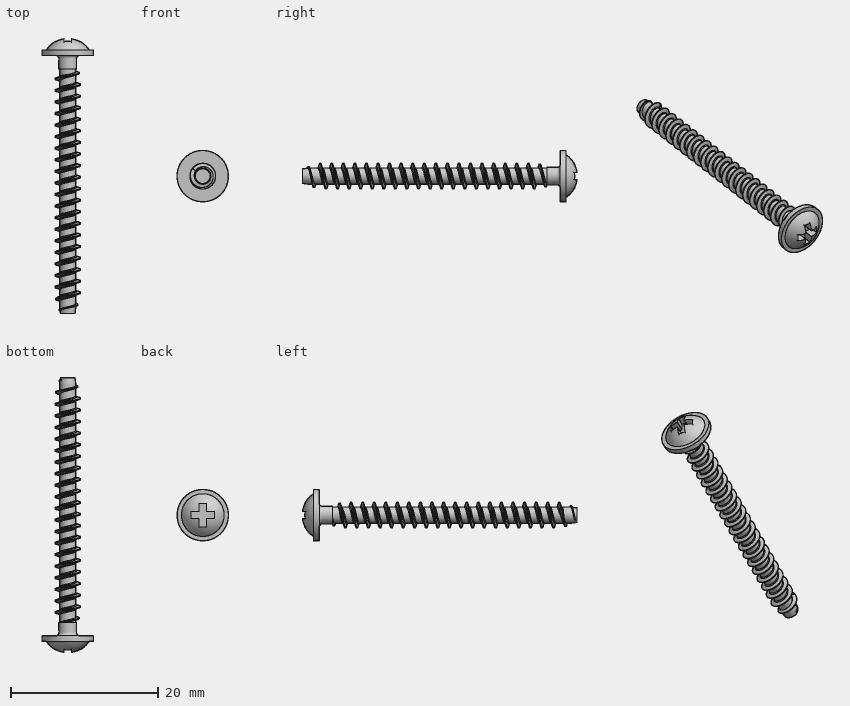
import cadquery as cq
import math


washer_radius = 3.5
washer_height = 0.8
washer_edge_radius = 0.1
head_height = 2.3
dome_foot_radius = 2.9

recess_wing_width = 0.97
recess_span = 3.2
recess_depth = 1.5

length = 35.0
neck_radius = 1.22
neck_length = 1.78
neck_fillet = 0.4
core_radius = 1.11
tip_radius = 1.0
tip_taper_length = 0.8

pitch = 1.57
thread_radius = 1.75
crest_width = 0.12
flank_angle = 14.0
foot_radius = 1.2
foot_width = 1.2
root_overlap = 0.15

thread_start = 0.9
full_thread_start = 2.0
full_thread_end = 20.9
thread_end = 22.1
thread_phase = 0.5
start_sink = 0.4
end_sink = 0.65
full_stretches = 6

cutter_clearance = 1.0

rim_radius = recess_wing_width / math.sqrt(2)
dome_height = head_height - washer_height
dome_centre = (
    (rim_radius**2 + head_height**2 - dome_foot_radius**2 - washer_height**2) / (2 * dome_height)
)
dome_radius = math.hypot(dome_foot_radius, washer_height - dome_centre)
dome_apex = dome_centre + dome_radius


def make_blank():
    """Head, neck and core as one turned body."""
    dome_mid_angle = math.asin(dome_foot_radius / dome_radius) / 2
    dome_mid = (
        dome_radius * math.sin(dome_mid_angle),
        dome_centre + dome_radius * math.cos(dome_mid_angle),
    )
    fillet_offset = neck_fillet * (1 - math.cos(math.pi / 4))
    edge_offset = washer_edge_radius * (1 - math.cos(math.pi / 4))
    profile = (
        cq.Workplane("XZ")
        .moveTo(0, dome_apex)
        .threePointArc(dome_mid, (dome_foot_radius, washer_height))
        .lineTo(washer_radius, washer_height)
        .lineTo(washer_radius, washer_edge_radius)
        .threePointArc(
            (washer_radius - edge_offset, edge_offset),
            (washer_radius - washer_edge_radius, 0),
        )
        .lineTo(neck_radius + neck_fillet, 0)
        .threePointArc(
            (neck_radius + fillet_offset, -fillet_offset),
            (neck_radius, -neck_fillet),
        )
        .lineTo(neck_radius, -neck_length)
        .lineTo(core_radius, -neck_length)
        .lineTo(core_radius, -length + tip_taper_length)
        .lineTo(tip_radius, -length)
        .lineTo(0, -length)
        .close()
    )
    return profile.revolve(360, (0, 0, 0), (0, 1, 0))


def make_recess():
    """Two crossed slots, sunk by the recess depth below the head height."""
    recess_top = dome_apex + cutter_clearance
    recess_floor = head_height - recess_depth
    height = recess_top - recess_floor
    wings = cq.Workplane("XY").workplane(offset=recess_floor)
    wing_x = wings.rect(recess_span, recess_wing_width).extrude(height)
    wing_y = wings.rect(recess_wing_width, recess_span).extrude(height)
    return wing_x.union(wing_y)


def thread_outline():
    """Cross-section of the ridge: trapezoid crest on a broad foot, rooted inside the core."""
    half_crest = crest_width / 2
    half_ridge = half_crest + (thread_radius - foot_radius) * math.tan(math.radians(flank_angle))
    half_foot = foot_width / 2
    root_radius = core_radius - root_overlap
    return [
        (root_radius, -half_foot),
        (foot_radius, -half_ridge),
        (thread_radius, -half_crest),
        (thread_radius, half_crest),
        (foot_radius, half_ridge),
        (root_radius, half_foot),
    ]


def make_ridge(bottom, top, bottom_sink=0, top_sink=0):
    """Right-handed ridge wound up from `bottom` to `top`, both in turns below the seating face.

    The sinks draw an end in toward the axis, so that the ridge climbs along a cone between them.
    """
    height = (bottom - top) * pitch
    if bottom_sink == top_sink:
        helix = cq.Wire.makeHelix(pitch, height, core_radius - bottom_sink)
    else:
        cone_angle = math.atan2(bottom_sink - top_sink, height)
        slant = 1 / math.cos(cone_angle)
        helix = cq.Wire.makeHelix(
            pitch * slant,
            height * slant,
            core_radius - bottom_sink,
            angle=math.degrees(cone_angle),
        )
    outline = [(radius - bottom_sink, rise) for radius, rise in thread_outline()]
    ridge = cq.Workplane("XZ").polyline(outline).close().sweep(cq.Workplane(helix), isFrenet=True)
    start_angle = (thread_phase - bottom) * 360
    return ridge.rotate((0, 0, 0), (0, 0, 1), start_angle).translate((0, 0, -bottom * pitch))


def make_thread():
    """Lengths of the thread in order: run-in under the neck, full thread, run-out at the tip."""
    ridges = [make_ridge(full_thread_start, thread_start, top_sink=start_sink)]
    stretch_turns = (full_thread_end - full_thread_start) / full_stretches
    for index in range(full_stretches):
        top = full_thread_start + index * stretch_turns
        ridges.append(make_ridge(top + stretch_turns, top))
    ridges.append(make_ridge(thread_end, full_thread_end, bottom_sink=end_sink))
    return ridges


def make_thread_zone():
    """Cylinder from the neck to the tip, within which the thread is kept."""
    zone_radius = thread_radius + cutter_clearance
    return cq.Workplane("XY").workplane(offset=-length).circle(zone_radius).extrude(length - neck_length)


screw = make_blank().cut(make_recess())
thread_zone = make_thread_zone()
for ridge in make_thread():
    screw = screw.union(ridge.intersect(thread_zone))
result = screw.rotate((0, 0, 0), (1, 0, 0), -90)